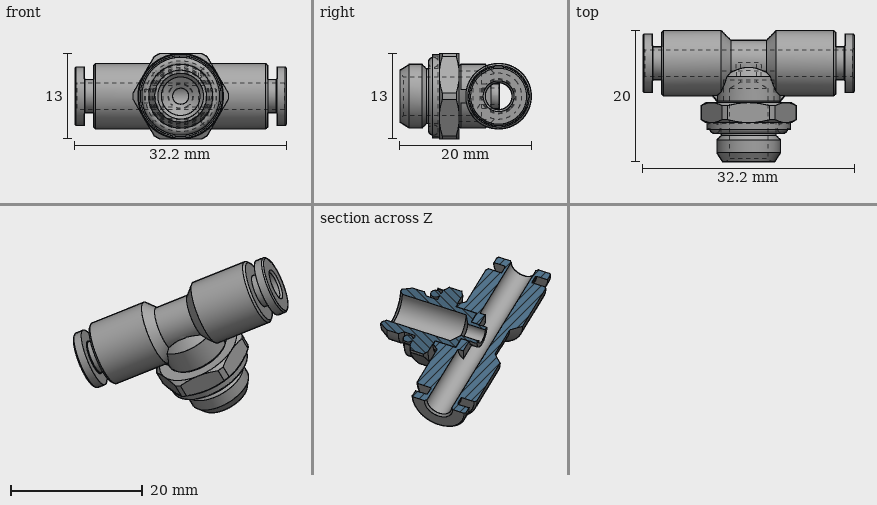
import cadquery as cq
import math


run_length = 32.2
body_radius = 5.0
body_half_length = 13.25
body_chamfer = 0.32
waist_radius = 3.5
waist_half_length = 2.7
collar_radius = 4.48
collar_thickness = 1.45
collar_chamfer = 0.23
collar_neck_radius = 2.55
collar_neck_chamfer = 0.13

tube_radius = 2.03
tube_mouth_chamfer = 0.32
tube_stop_x = 4.2
passage_floor_y = -1.15

branch_radius = 4.85
branch_cone_start_y = -0.68
branch_end_y = -6.0
branch_end_radius = 4.67
end_taper_slope = 0.81
rib_width = 2.03
rib_root_y = -4.5

hex_across_flats = 13.0
hex_corner_radius = 7.25
hex_end_radius = hex_across_flats / 2
hex_chamfer = 0.45
hex_length = 3.03

flange_radius = 6.38
flange_length = 1.03
groove_radius = 6.15
groove_depth = 0.87
seal_radius = 5.15
seal_section_radius = 0.77
seal_tip_y = -10.7

overall_depth = 20.0
stem_end_y = body_radius - overall_depth
thread_radius = 4.85
thread_relief_radius = 4.2
thread_start_y = -11.65
thread_chamfer_length = 1.42
thread_end_radius = 3.95

shank_radius = 3.85
shank_end_y = -2.58
neck_radius = 1.85
crown_radius = 1.93
crown_bottom_y = -1.05
crown_top_y = 0.1

bore_radius = 2.93
bore_chamfer = 0.55
bore_bottom_y = -3.85
drill_half_angle = 59.0
orifice_radius = 1.22


def ring_about_y(points):
    """Revolve a closed outline of (radius, y) points about the Y axis."""
    return cq.Workplane("XY").polyline(points).close().revolve(360, (0, 0, 0), (0, 1, 0))


def half_run(side):
    """One half of the run with its collar; side is -1 or 1."""
    end = run_length / 2
    collar_back = end - collar_thickness
    cone_length = body_radius - waist_radius
    outline = [
        (0, 0),
        (0, waist_radius),
        (waist_half_length, waist_radius),
        (waist_half_length + cone_length, body_radius),
        (body_half_length - body_chamfer, body_radius),
        (body_half_length, body_radius - body_chamfer),
        (body_half_length, collar_neck_radius),
        (collar_back - collar_neck_chamfer, collar_neck_radius),
        (collar_back, collar_neck_radius + collar_neck_chamfer),
        (collar_back, collar_radius),
        (end - collar_chamfer, collar_radius),
        (end, collar_radius - collar_chamfer),
        (end, 0),
    ]
    points = [(side * x, radius) for x, radius in outline]
    return cq.Workplane("XY").polyline(points).close().revolve(360, (0, 0, 0), (1, 0, 0))


def tube_socket(side):
    """Hole for one tube, from the collar mouth to the tube stop."""
    end = run_length / 2
    outline = [
        (tube_stop_x, 0),
        (tube_stop_x, tube_radius),
        (end - tube_mouth_chamfer, tube_radius),
        (end, tube_radius + tube_mouth_chamfer),
        (end, 0),
    ]
    points = [(side * x, radius) for x, radius in outline]
    return cq.Workplane("XY").polyline(points).close().revolve(360, (0, 0, 0), (1, 0, 0))


def middle_passage():
    """Passage between the tube stops, with a flat floor on the branch side."""
    passage = cq.Workplane("YZ").circle(tube_radius).extrude(tube_stop_x, both=True)
    depth = tube_radius - passage_floor_y
    open_side = (
        cq.Workplane("XY", origin=(0, passage_floor_y, 0))
        .box(2 * tube_stop_x, depth, 2 * tube_radius, centered=(True, False, True))
    )
    return passage.intersect(open_side)


def branch():
    """Branch that widens from the waist, with a rib on each side and a tapered end."""
    cone_end_y = branch_cone_start_y - (branch_radius - waist_radius)
    sleeve = ring_about_y([
        (0, 0),
        (waist_radius, 0),
        (waist_radius, branch_cone_start_y),
        (branch_radius, cone_end_y),
        (branch_radius, branch_end_y),
        (0, branch_end_y),
    ])
    rib_reach = branch_end_radius + end_taper_slope * (rib_root_y - branch_end_y)
    ribs = (
        cq.Workplane("XZ", origin=(0, rib_root_y, 0))
        .rect(2 * rib_reach, rib_width)
        .extrude(rib_root_y - branch_end_y)
    )
    taper = ring_about_y([
        (0, 0),
        (branch_end_radius - end_taper_slope * branch_end_y, 0),
        (branch_end_radius, branch_end_y),
        (0, branch_end_y),
    ])
    return sleeve.union(ribs).intersect(taper)


def insert_envelope():
    """Outer shape of the stem inside the housing, ending in a crowned tip."""
    crown_middle_y = (crown_bottom_y + crown_top_y) / 2
    return (
        cq.Workplane("XY")
        .moveTo(0, branch_end_y)
        .lineTo(shank_radius, branch_end_y)
        .lineTo(shank_radius, shank_end_y)
        .lineTo(neck_radius, shank_end_y)
        .lineTo(neck_radius, crown_bottom_y)
        .threePointArc((crown_radius, crown_middle_y), (neck_radius, crown_top_y))
        .lineTo(0, crown_top_y)
        .close()
        .revolve(360, (0, 0, 0), (0, 1, 0))
    )


def make_housing():
    """Tee housing with both collars and the seat for the stem."""
    housing = branch()
    for side in (-1, 1):
        housing = housing.union(half_run(side))
    for side in (-1, 1):
        housing = housing.cut(tube_socket(side))
    return housing.cut(middle_passage()).cut(insert_envelope())


def hexagon():
    """Hexagon with rounded corners, chamfered at both ends."""
    low_y = branch_end_y - hex_length
    corner_diameter = hex_across_flats / math.cos(math.pi / 6)
    prism = cq.Workplane("XZ", origin=(0, branch_end_y, 0)).polygon(6, corner_diameter).extrude(hex_length)
    barrel = ring_about_y([
        (0, branch_end_y),
        (hex_end_radius, branch_end_y),
        (hex_corner_radius, branch_end_y - hex_chamfer),
        (hex_corner_radius, low_y + hex_chamfer),
        (hex_end_radius, low_y),
        (0, low_y),
    ])
    return prism.intersect(barrel)


def flange():
    """Round flange with an open groove around the thread relief."""
    high_y = branch_end_y - hex_length
    low_y = high_y - flange_length
    groove_y = low_y + groove_depth
    return ring_about_y([
        (0, high_y),
        (flange_radius, high_y),
        (flange_radius, low_y),
        (groove_radius, low_y),
        (groove_radius, groove_y),
        (0, groove_y),
    ])


def seal():
    """Rounded sealing ring in the flange groove."""
    center_y = seal_tip_y + seal_section_radius
    return (
        cq.Workplane("XY")
        .center(seal_radius, center_y)
        .circle(seal_section_radius)
        .revolve(360, (-seal_radius, 0, 0), (-seal_radius, 1, 0))
    )


def threaded_end():
    """Plain thread cylinder with a relief behind it and a tapered nose."""
    relief_y = thread_start_y + thread_radius - thread_relief_radius
    return ring_about_y([
        (0, branch_end_y),
        (thread_relief_radius, branch_end_y),
        (thread_relief_radius, relief_y),
        (thread_radius, thread_start_y),
        (thread_radius, stem_end_y + thread_chamfer_length),
        (thread_end_radius, stem_end_y),
        (0, stem_end_y),
    ])


def stem_bore():
    """Drilled bore with a conical bottom that leads into a narrow orifice."""
    cone_length = (bore_radius - orifice_radius) / math.tan(math.radians(drill_half_angle))
    return ring_about_y([
        (0, stem_end_y),
        (bore_radius + bore_chamfer, stem_end_y),
        (bore_radius, stem_end_y + bore_chamfer),
        (bore_radius, bore_bottom_y),
        (orifice_radius, bore_bottom_y + cone_length),
        (orifice_radius, crown_top_y),
        (0, crown_top_y),
    ])


def make_stem():
    """Hexagon stem with its seal, seated in the branch of the housing."""
    outer = insert_envelope().union(hexagon()).union(flange()).union(threaded_end()).union(seal())
    return outer.cut(stem_bore())


housing = make_housing()
stem = make_stem()

result = cq.Compound.makeCompound([housing.solids().val(), stem.solids().val()])